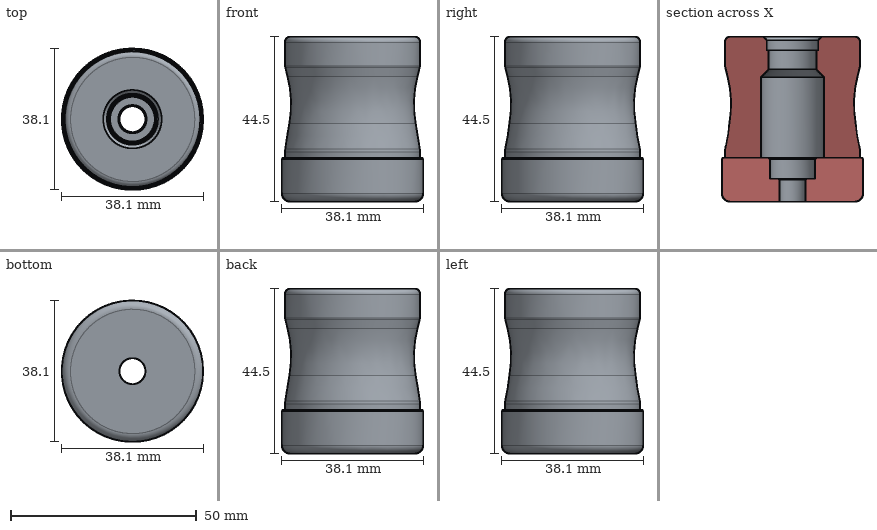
import cadquery as cq

TOTAL_HEIGHT = 44.45

BASE_DIAMETER = 38.1
BASE_RADIUS = BASE_DIAMETER / 2
BASE_HEIGHT = 11.9
BASE_BOTTOM_FILLET = 2.3
BASE_TOP_CHAMFER = 0.4
SCREW_HOLE_RADIUS = 3.45
SCREW_HOLE_CHAMFER = 0.35
SOCKET_RADIUS = 6.0
SOCKET_FLOOR_Z = 6.22
SOCKET_CHAMFER = 0.55

GRIP_RADIUS = 18.22
GRIP_TOP_FILLET = 1.5
LOWER_BAND_TOP_Z = 13.45
LOWER_BLEND_TOP_Z = 14.3
LOWER_BLEND_RADIUS = 18.15
WAIST_BOTTOM_Z = 21.15
WAIST_BOTTOM_RADIUS = 17.02
WAIST_Z = 26.23
WAIST_RADIUS = 16.6
WAIST_TOP_Z = 33.83
WAIST_TOP_RADIUS = 17.55
UPPER_BLEND_BOTTOM_Z = 36.2
UPPER_BLEND_RADIUS = 18.15
UPPER_BAND_BOTTOM_Z = 36.63

MOUTH_RADIUS = 6.9
MOUTH_CHAMFER = 1.0
LEDGE_DEPTH = 3.65
BORE_RADIUS = 6.4
BORE_DEPTH = 8.85
CAVITY_RADIUS = 8.45
CAVITY_FLARE = CAVITY_RADIUS - BORE_RADIUS


def revolve_about_z(profile):
    """Turn a closed radius-height profile a full circle about the Z axis."""
    return profile.revolve(360, (0, 0, 0), (0, 1, 0))


def make_base():
    """Disc with a rounded bottom edge, a chamfered socket and a chamfered screw hole."""
    profile = (
        cq.Workplane("XZ")
        .moveTo(SCREW_HOLE_RADIUS, 0)
        .lineTo(BASE_RADIUS - BASE_BOTTOM_FILLET, 0)
        .radiusArc((BASE_RADIUS, BASE_BOTTOM_FILLET), -BASE_BOTTOM_FILLET)
        .lineTo(BASE_RADIUS, BASE_HEIGHT - BASE_TOP_CHAMFER)
        .lineTo(BASE_RADIUS - BASE_TOP_CHAMFER, BASE_HEIGHT)
        .lineTo(SOCKET_RADIUS + SOCKET_CHAMFER, BASE_HEIGHT)
        .lineTo(SOCKET_RADIUS, BASE_HEIGHT - SOCKET_CHAMFER)
        .lineTo(SOCKET_RADIUS, SOCKET_FLOOR_Z)
        .lineTo(SCREW_HOLE_RADIUS + SCREW_HOLE_CHAMFER, SOCKET_FLOOR_Z)
        .lineTo(SCREW_HOLE_RADIUS, SOCKET_FLOOR_Z - SCREW_HOLE_CHAMFER)
        .close()
    )
    return revolve_about_z(profile)


def make_grip():
    """Waisted grip standing on the base, with a stepped bore opening into a wider cavity."""
    bore_bottom_z = TOTAL_HEIGHT - BORE_DEPTH
    ledge_z = TOTAL_HEIGHT - LEDGE_DEPTH
    profile = (
        cq.Workplane("XZ")
        .moveTo(CAVITY_RADIUS, BASE_HEIGHT)
        .lineTo(GRIP_RADIUS, BASE_HEIGHT)
        .lineTo(GRIP_RADIUS, LOWER_BAND_TOP_Z)
        .lineTo(LOWER_BLEND_RADIUS, LOWER_BLEND_TOP_Z)
        .lineTo(WAIST_BOTTOM_RADIUS, WAIST_BOTTOM_Z)
        .threePointArc((WAIST_RADIUS, WAIST_Z), (WAIST_TOP_RADIUS, WAIST_TOP_Z))
        .lineTo(UPPER_BLEND_RADIUS, UPPER_BLEND_BOTTOM_Z)
        .lineTo(GRIP_RADIUS, UPPER_BAND_BOTTOM_Z)
        .lineTo(GRIP_RADIUS, TOTAL_HEIGHT - GRIP_TOP_FILLET)
        .radiusArc((GRIP_RADIUS - GRIP_TOP_FILLET, TOTAL_HEIGHT), -GRIP_TOP_FILLET)
        .lineTo(MOUTH_RADIUS + MOUTH_CHAMFER, TOTAL_HEIGHT)
        .lineTo(MOUTH_RADIUS, TOTAL_HEIGHT - MOUTH_CHAMFER)
        .lineTo(MOUTH_RADIUS, ledge_z)
        .lineTo(BORE_RADIUS, ledge_z)
        .lineTo(BORE_RADIUS, bore_bottom_z)
        .lineTo(CAVITY_RADIUS, bore_bottom_z - CAVITY_FLARE)
        .close()
    )
    return revolve_about_z(profile)


base = make_base()
grip = make_grip()

result = cq.Compound.makeCompound([base.val(), grip.val()])